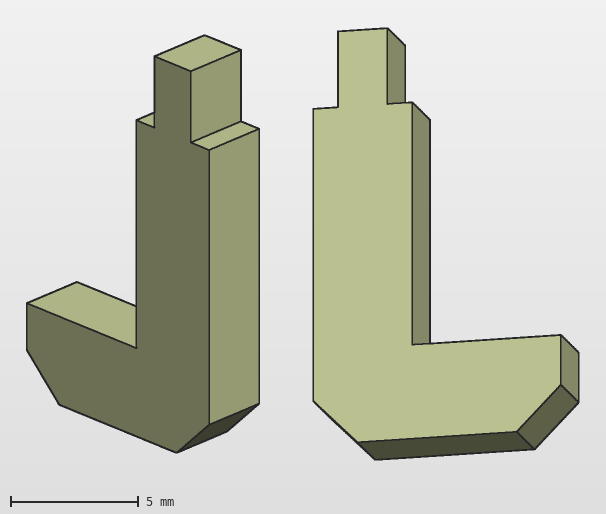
import cadquery as cq

length = 10.0
thickness = 2.8
height = 16.66

foot_height = 3.8
stem_width = 4.0
tab_width = 2.0
tab_height = 3.07
chamfer = 1.78

right = length / 2
left = -right
stem_left = right - stem_width
shoulder_width = (stem_width - tab_width) / 2
tab_left = stem_left + shoulder_width
tab_right = right - shoulder_width
shoulder_z = height - tab_height

profile = [
    (left + chamfer, 0),
    (right - chamfer, 0),
    (right, chamfer),
    (right, shoulder_z),
    (tab_right, shoulder_z),
    (tab_right, height),
    (tab_left, height),
    (tab_left, shoulder_z),
    (stem_left, shoulder_z),
    (stem_left, foot_height),
    (left, foot_height),
    (left, chamfer),
]

result = cq.Workplane("XZ").polyline(profile).close().extrude(thickness / 2, both=True)